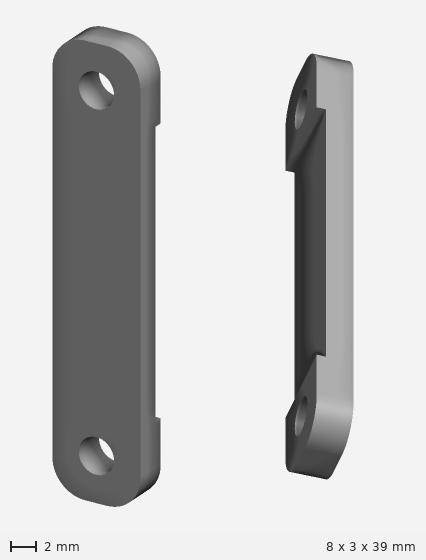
import cadquery as cq

length = 39.0
width = 8.0
thickness = 3.0
corner_radius = 3.0

hole_diameter = 3.2
hole_spacing = 31.0

recess_length = 25.0
recess_depth = 0.75

plate = cq.Workplane("XY").box(width, thickness, length).edges("|Y").fillet(corner_radius)

recess = (
    cq.Workplane("XY")
    .box(width, recess_depth, recess_length)
    .translate((0, (thickness - recess_depth) / 2, 0))
)

holes = (
    cq.Workplane("XZ")
    .pushPoints([(0, side * hole_spacing / 2) for side in (-1, 1)])
    .circle(hole_diameter / 2)
    .extrude(thickness / 2, both=True)
)

result = plate.cut(recess).cut(holes)